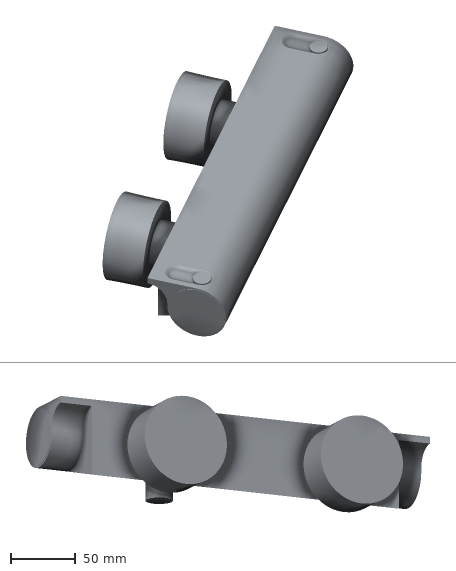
import cadquery as cq
import math

total_length = 315.0
bar_radius = 24.0

housing_length = 261.5
wall_x = -40.0
corner_z = -36.0

disc_diameter = 45.0
disc_height = 0.3
lip_bottom_z = 18.5
lip_arc_radius = -wall_x - bar_radius
handle_length = (total_length - housing_length) / 2 - disc_height

slot_width = 17.3
slot_floor_width = 11.3
slot_travel = 20.8
slot_depth = 1.5
button_hole_diameter = 14.8
button_diameter = 14.0
button_gap_depth = 2.2

connector_spacing = 150.0
connector_z = -14.2
neck_diameter = 39.0
knob_front_x = -59.2
knob_end_x = -92.0
knob_end_diameter = 70.0
knob_front_diameter = 69.0

outlet_diameter = 21.0
outlet_x = -7.2
outlet_y = 58.3
outlet_bottom_z = -42.0


def extrude_along_y(profile, start_y, length):
    """Extrude an XZ profile from start_y toward +Y."""
    return profile.extrude(-length).translate((0, start_y, 0))


def make_bar():
    """Rounded bar whose sloping underside is tangent to the round front."""
    corner_distance = math.hypot(wall_x, corner_z)
    tangent_angle = math.atan2(corner_z, wall_x) + math.acos(bar_radius / corner_distance)
    tangent_point = (bar_radius * math.cos(tangent_angle), bar_radius * math.sin(tangent_angle))
    profile = (
        cq.Workplane("XZ")
        .moveTo(wall_x, corner_z)
        .lineTo(wall_x, bar_radius)
        .lineTo(0, bar_radius)
        .threePointArc((bar_radius, 0), tangent_point)
        .close()
    )
    return extrude_along_y(profile, -housing_length / 2, housing_length)


def cut_button_slot(handle, center_y):
    """Cut the tapered slot and its button hole, leaving the button flush with the top."""
    top = cq.Workplane("XY", origin=(0, center_y, bar_radius))
    slot = (
        top.center(-slot_travel / 2, 0)
        .slot2D(slot_travel + slot_width, slot_width)
        .workplane(offset=-slot_depth)
        .slot2D(slot_travel + slot_floor_width, slot_floor_width)
        .loft(ruled=True)
    )
    hole = top.circle(button_hole_diameter / 2).extrude(-button_gap_depth)
    button = top.circle(button_diameter / 2).extrude(-button_gap_depth)
    return handle.cut(slot).cut(hole).union(button)


def make_handle():
    """Handle for the +Y end, with a lip reaching back and a raised end disc."""
    arc_center_z = lip_bottom_z - lip_arc_radius
    diagonal = lip_arc_radius * math.sqrt(0.5)
    profile = (
        cq.Workplane("XZ")
        .moveTo(wall_x, bar_radius)
        .lineTo(0, bar_radius)
        .threePointArc((bar_radius, 0), (0, -bar_radius))
        .threePointArc((-bar_radius * math.sqrt(0.5), -bar_radius * math.sqrt(0.5)), (-bar_radius, 0))
        .lineTo(-bar_radius, arc_center_z)
        .threePointArc((wall_x + diagonal, arc_center_z + diagonal), (wall_x, lip_bottom_z))
        .close()
    )
    start_y = housing_length / 2
    handle = extrude_along_y(profile, start_y, handle_length)
    disc = extrude_along_y(
        cq.Workplane("XZ").circle(disc_diameter / 2), start_y + handle_length, disc_height
    )
    return cut_button_slot(handle.union(disc), (start_y + total_length / 2) / 2)


def make_connector(center_y):
    """Tapered knob and its neck, turned about an axis along X."""
    return (
        cq.Workplane("XY")
        .moveTo(knob_end_x, 0)
        .lineTo(knob_end_x, knob_end_diameter / 2)
        .lineTo(knob_front_x, knob_front_diameter / 2)
        .lineTo(knob_front_x, neck_diameter / 2)
        .lineTo(wall_x, neck_diameter / 2)
        .lineTo(wall_x, 0)
        .close()
        .revolve(360, (0, 0, 0), (1, 0, 0))
        .translate((0, center_y, connector_z))
    )


def make_mixer(bar):
    """Bar with both handles and both wall connectors."""
    handle = make_handle()
    mixer = bar.union(handle, clean=False).union(handle.mirror("XZ"), clean=False)
    for side in (-1, 1):
        mixer = mixer.union(make_connector(side * connector_spacing / 2), clean=False)
    return mixer


def make_outlet(bar):
    """Outlet stub whose top sits against the sloping underside of the bar."""
    stub = (
        cq.Workplane("XY", origin=(outlet_x, outlet_y, outlet_bottom_z))
        .circle(outlet_diameter / 2)
        .extrude(-outlet_bottom_z)
    )
    return stub.cut(bar)


bar = make_bar()
mixer = make_mixer(bar)
outlet = make_outlet(bar)

result = cq.Compound.makeCompound([mixer.solids().val(), outlet.solids().val()])